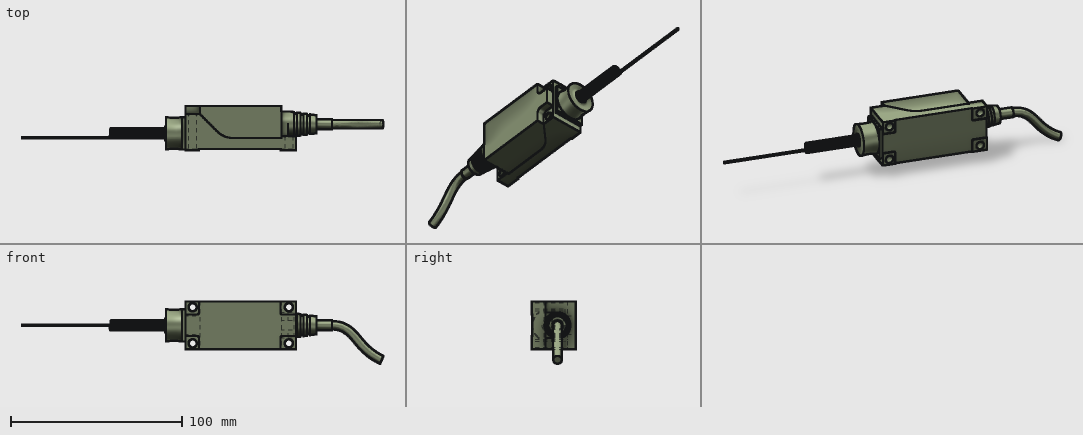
import cadquery as cq
import math


OVERALL_LENGTH = 211.3
OVERALL_WIDTH = 36.5

HOUSING_LENGTH = 64.7
HOUSING_WIDTH = 28.0
BODY_HEIGHT = 26.0
PAD_HEIGHT = 0.6
LEFT_PAD_LENGTH = 7.8
RIGHT_PAD_LENGTH = 9.0
PAD_WIDTH = 7.8
PAD_CORNER_RADIUS = 1.0
HOLE_DIAMETER = 4.6
HOLE_END_DISTANCE = 4.2
HOLE_SPACING_Z = 21.1

COVER_LENGTH = 56.0
COVER_LEDGE_Y = 21.1
COVER_BASE_Y = 7.2
SLOPE_START_X = 8.5
SLOPE_ANGLE = 45.0
SLOPE_BLEND_RADIUS = 12.7
TAB_WIDTH = 11.0
TAB_FILLET = 3.2

STEP_Y = 8.2

HEAD_Y = 10.0
FLANGE_SIDE = 19.0
FLANGE_LENGTH = 2.0
HEAD_LENGTH = 9.5
HEAD_RADIUS = 9.5
HEAD_WAIST_RADIUS = 9.0
COLLAR_LENGTH = 0.5
COLLAR_RADIUS = 3.8
DISH_RADIUS = 5.0
DISH_DEPTH = 0.2

WIRE_DIAMETER = 1.0
SPRING_MEAN_DIAMETER = 5.0
SPRING_LENGTH = 32.5
SPRING_PITCH = 1.01

CORD_Y = 15.2
BOOT_BLOCK_END_X = 59.8
BOOT_DIAMETER = 15.0
BOOT_END_RADIUS = 5.3
BOOT_TAPER_X = 61.5
BOOT_END_X = 76.7
GROOVE_WIDTH = 1.82
GROOVE_PITCH = 3.8
GROOVE_FIRST_X = 63.4
GROOVE_COUNT = 3
STUB_DIAMETER = 6.0
STUB_END_X = 85.5
CABLE_DIAMETER = 5.0
CABLE_MIDDLE = (16.7, -10.5)
CABLE_REACH = 29.2
CABLE_END_ANGLE = 24.0

CABLE_END_TILT = math.radians(CABLE_END_ANGLE)
CABLE_END_Z = HOUSING_WIDTH / 2 - OVERALL_WIDTH + CABLE_DIAMETER / 2 * math.cos(CABLE_END_TILT)
CABLE_TIP_X = STUB_END_X + CABLE_REACH + CABLE_DIAMETER / 2 * math.sin(CABLE_END_TILT)
ROD_TIP_X = CABLE_TIP_X - OVERALL_LENGTH
HEAD_FACE_X = -FLANGE_LENGTH - HEAD_LENGTH
COLLAR_FACE_X = HEAD_FACE_X - COLLAR_LENGTH
SPRING_END_X = COLLAR_FACE_X - SPRING_LENGTH


def box(x0, x1, y0, y1, width):
    """Block between two X and two Y positions, centred on Z = 0."""
    block = cq.Workplane("XY").box(x1 - x0, y1 - y0, width, centered=(False, False, True))
    return block.translate((x0, y0, 0))


def cylinder_x(x0, x1, diameter, y):
    """Cylinder along X on the axis at height y."""
    return cq.Workplane("YZ", origin=(x0, y, 0)).circle(diameter / 2).extrude(x1 - x0)


def cover_space():
    """Full-width block of the cover's side outline: a slope blended into its long lower edge."""
    slope = math.radians(SLOPE_ANGLE)
    slope_foot_x = SLOPE_START_X + (COVER_LEDGE_Y - COVER_BASE_Y) / math.tan(slope)
    tangent = SLOPE_BLEND_RADIUS * math.tan(slope / 2)
    blend_start = (slope_foot_x - tangent * math.cos(slope), COVER_BASE_Y + tangent * math.sin(slope))
    blend_end = (slope_foot_x + tangent, COVER_BASE_Y)
    blend_middle = (
        blend_end[0] - SLOPE_BLEND_RADIUS * math.sin(slope / 2),
        COVER_BASE_Y + SLOPE_BLEND_RADIUS * (1 - math.cos(slope / 2)),
    )
    return (
        cq.Workplane("XY", origin=(0, 0, -HOUSING_WIDTH / 2))
        .moveTo(0, BODY_HEIGHT)
        .lineTo(0, COVER_LEDGE_Y)
        .lineTo(SLOPE_START_X, COVER_LEDGE_Y)
        .lineTo(*blend_start)
        .threePointArc(blend_middle, blend_end)
        .lineTo(COVER_LENGTH, COVER_BASE_Y)
        .lineTo(COVER_LENGTH, BODY_HEIGHT)
        .close()
        .extrude(HOUSING_WIDTH)
    )


def make_cover():
    """Cover with its left end cut back on both sides of a filleted central tab."""
    cover = cover_space()
    for side in (1, -1):
        tab_z = side * TAB_WIDTH / 2
        fillet_end = (SLOPE_START_X, tab_z + side * TAB_FILLET)
        fillet_middle = (
            SLOPE_START_X - TAB_FILLET * (1 - math.sqrt(0.5)),
            tab_z + side * TAB_FILLET * (1 - math.sqrt(0.5)),
        )
        corner = (
            cq.Workplane("XZ", origin=(0, BODY_HEIGHT, 0))
            .moveTo(0, tab_z)
            .lineTo(SLOPE_START_X - TAB_FILLET, tab_z)
            .threePointArc(fillet_middle, fillet_end)
            .lineTo(SLOPE_START_X, side * HOUSING_WIDTH / 2)
            .lineTo(0, side * HOUSING_WIDTH / 2)
            .close()
            .extrude(BODY_HEIGHT - COVER_LEDGE_Y)
        )
        cover = cover.cut(corner)
    return cover


def mounting_pad(outer_x, inner_x, side):
    """Corner pad below the housing's underside, rounded at its inner corner."""
    pad_z = side * (HOUSING_WIDTH - PAD_WIDTH) / 2
    inner_z = side * (HOUSING_WIDTH / 2 - PAD_WIDTH)
    pad = box(min(outer_x, inner_x), max(outer_x, inner_x), 0, PAD_HEIGHT, PAD_WIDTH).translate((0, 0, pad_z))
    inner_corner = cq.selectors.NearestToPointSelector((inner_x, PAD_HEIGHT / 2, inner_z))
    return pad.edges(inner_corner).fillet(PAD_CORNER_RADIUS)


def make_housing():
    """Housing below the cover's lower edge, with mounting pads and a seat for the boot."""
    housing = box(0, COVER_LENGTH, PAD_HEIGHT, COVER_LEDGE_Y, HOUSING_WIDTH).cut(cover_space())
    housing = housing.union(box(COVER_LENGTH, HOUSING_LENGTH, PAD_HEIGHT, STEP_Y, HOUSING_WIDTH))
    for side in (1, -1):
        housing = housing.union(mounting_pad(0, LEFT_PAD_LENGTH, side))
        housing = housing.union(mounting_pad(HOUSING_LENGTH, HOUSING_LENGTH - RIGHT_PAD_LENGTH, side))
    return housing.cut(cylinder_x(COVER_LENGTH, HOUSING_LENGTH, BOOT_DIAMETER, CORD_Y))


def mounting_holes():
    """Four holes through housing and cover."""
    middle_x = HOUSING_LENGTH / 2
    spacing_x = HOUSING_LENGTH - 2 * HOLE_END_DISTANCE
    return (
        cq.Workplane("XZ", origin=(middle_x, BODY_HEIGHT, 0))
        .rarray(spacing_x, HOLE_SPACING_Z, 2, 2)
        .circle(HOLE_DIAMETER / 2)
        .extrude(BODY_HEIGHT)
    )


def make_head():
    """Square flange with a waisted round nose, dished around a central collar."""
    flange = box(-FLANGE_LENGTH, 0, HEAD_Y - FLANGE_SIDE / 2, HEAD_Y + FLANGE_SIDE / 2, FLANGE_SIDE)
    nose = (
        cq.Workplane("XY")
        .moveTo(-FLANGE_LENGTH, 0)
        .lineTo(-FLANGE_LENGTH, HEAD_RADIUS)
        .threePointArc((-FLANGE_LENGTH - HEAD_LENGTH / 2, HEAD_WAIST_RADIUS), (HEAD_FACE_X, HEAD_RADIUS))
        .spline(
            [(HEAD_FACE_X + DISH_DEPTH, DISH_RADIUS), (COLLAR_FACE_X, COLLAR_RADIUS)],
            tangents=[(0, -1), (-1, -2)],
            includeCurrent=True,
        )
        .lineTo(COLLAR_FACE_X, 0)
        .close()
        .revolve(360, (0, 0, 0), (1, 0, 0))
        .translate((0, HEAD_Y, 0))
    )
    return flange.union(nose)


def make_feeler():
    """Coil spring whose wire runs straight out from the underside of its last turn."""
    mean_radius = SPRING_MEAN_DIAMETER / 2
    coil_path = cq.Wire.makeHelix(SPRING_PITCH, SPRING_LENGTH - WIRE_DIAMETER, mean_radius)
    coil = (
        cq.Workplane("XZ", origin=(mean_radius, 0, 0))
        .circle(WIRE_DIAMETER / 2)
        .sweep(cq.Workplane(coil_path), isFrenet=True)
    )
    coil_start_x = SPRING_END_X + WIRE_DIAMETER / 2
    coil = (
        coil.rotate((0, 0, 0), (0, 0, 1), -90)
        .rotate((0, 0, 0), (0, 1, 0), 90)
        .translate((coil_start_x, HEAD_Y, 0))
    )
    return coil.union(cylinder_x(ROD_TIP_X, coil_start_x, WIRE_DIAMETER, HEAD_Y - mean_radius))


def make_boot():
    """Conical boot with half-round grooves, a square-sided foot and a cable stub."""
    boot_radius = BOOT_DIAMETER / 2
    taper = (boot_radius - BOOT_END_RADIUS) / (BOOT_END_X - BOOT_TAPER_X)
    boot = (
        cq.Workplane("XY")
        .moveTo(COVER_LENGTH, 0)
        .lineTo(COVER_LENGTH, boot_radius)
        .lineTo(BOOT_TAPER_X, boot_radius)
        .lineTo(BOOT_END_X, BOOT_END_RADIUS)
        .lineTo(BOOT_END_X, 0)
        .close()
        .revolve(360, (0, 0, 0), (1, 0, 0))
    )
    for number in range(GROOVE_COUNT):
        groove_x = GROOVE_FIRST_X + GROOVE_WIDTH / 2 + number * GROOVE_PITCH
        groove_radius = boot_radius - taper * (groove_x - BOOT_TAPER_X)
        groove = (
            cq.Workplane("XY", origin=(groove_x, groove_radius, 0))
            .circle(GROOVE_WIDTH / 2)
            .revolve(360, (0, -groove_radius, 0), (1, -groove_radius, 0))
        )
        boot = boot.cut(groove)
    boot = boot.translate((0, CORD_Y, 0))
    boot = boot.union(box(COVER_LENGTH, BOOT_BLOCK_END_X, STEP_Y, CORD_Y, BOOT_DIAMETER))
    return boot.union(cylinder_x(BOOT_END_X, STUB_END_X, STUB_DIAMETER, CORD_Y))


def make_cable():
    """Cable that swings downward in an S-curve from the end of the stub."""
    path = cq.Workplane("XZ", origin=(STUB_END_X, CORD_Y, 0)).spline(
        [(0, 0), CABLE_MIDDLE, (CABLE_REACH, CABLE_END_Z)],
        tangents=[(1, 0), (math.cos(CABLE_END_TILT), -math.sin(CABLE_END_TILT))],
    )
    return cq.Workplane("YZ", origin=(STUB_END_X, CORD_Y, 0)).circle(CABLE_DIAMETER / 2).sweep(path)


holes = mounting_holes()
housing = make_housing().cut(holes)
cover = make_cover().cut(holes)
head = make_head()
boot = make_boot()
cable = make_cable()
feeler = make_feeler()

result = cq.Compound.makeCompound(
    [body.solids().val() for body in (housing, cover, head, feeler, boot, cable)]
)